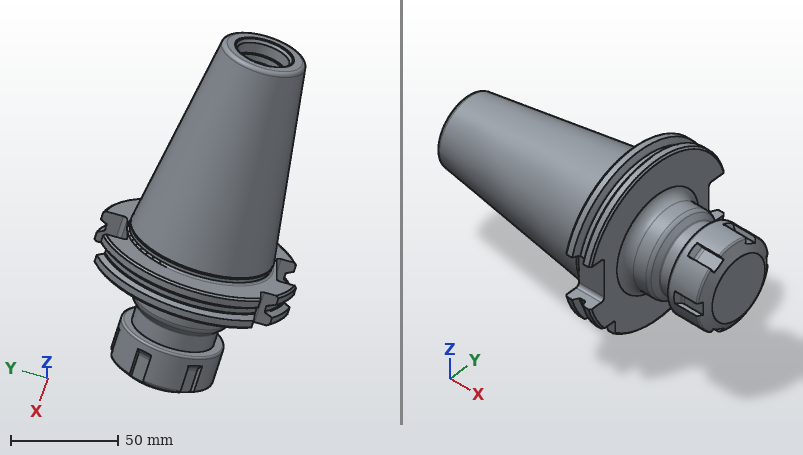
import cadquery as cq
import math

total_length = 171.6

taper_ratio = 7 / 24
taper_length = 101.0
taper_big_radius = 35.0
taper_small_radius = taper_big_radius - taper_length * taper_ratio / 2
tail_fillet = 2.2

relief_radius = 34.7
relief_start = 102.1
relief_fillet = 1.0

flange_back = 104.8
flange_width = 16.0
flange_front = flange_back + flange_width
flange_middle = flange_back + flange_width / 2
flange_radius = 48.7
flange_chamfer = 1.0
groove_depth = 3.3
groove_floor_half_width = 1.63
groove_mouth_half_width = 3.5
groove_fillet = 0.6

slot_width = 25.7
slot_floor_rear = 35.5
slot_floor_front = 37.2
notch_wall_y = -29.5
notch_roof_z = -30.0
slot_corner_fillet = 2.0
notch_corner_fillet = 1.5
cut_reach = 1.2 * flange_radius

nose_radius = 24.0
nose_root_radius = 6.5
nose_root_length = 6.2
nose_neck_start = 140.2
neck_radius = 20.0
nose_bevel_length = nose_radius - neck_radius
nose_bevel_fillet = 3.5
neck_fillet = 0.7

mouth_radius = 14.5
mouth_step_radius = 13.7
mouth_step_depth = 0.3
pilot_radius = 12.7
pilot_start = 1.9
pilot_end = 7.2
thread_radius = 12.2
thread_end = 11.0
land_radius = 11.8
land_end = 11.8
core_radius = 10.5
core_depth = 68.6
drill_point_angle = 118.0

nut_back = 149.1
nut_radius = 25.0
nut_back_fillet = 1.0
nut_face_radius = 18.4
nut_bevel_angle = 60.0
nut_bevel_fillet = 1.2
nut_bevel_start = total_length - (nut_radius - nut_face_radius) / math.tan(math.radians(nut_bevel_angle))

wrench_slot_count = 6
wrench_slot_width = 7.5
wrench_slot_floor = 22.1
wrench_slot_back = 153.5
wrench_slot_fillet = 2.2
wrench_slot_overcut = 1.7


def turned(points):
    """Revolve an outline of (x, radius) points about the X axis."""
    return cq.Workplane("XY").polyline(points).close().revolve(360, (0, 0, 0), (1, 0, 0))


def ring_edges(body, x, radius):
    """Circular edges of a turned body at one place along the axis."""
    tolerance = 0.02

    def matches(edge):
        return (abs(edge.Center().x - x) < tolerance
                and abs(edge.radius() - radius) < tolerance)

    return body.edges("%CIRCLE").filter(matches)


def make_nose_root():
    """Concave collar that blends the nose into the flange."""
    rise = nose_root_radius - math.sqrt(nose_root_radius**2 - nose_root_length**2)
    half_angle = math.asin(nose_root_length / nose_root_radius) / 2
    arc_middle = (
        flange_front + nose_root_length - nose_root_radius * math.sin(half_angle),
        nose_radius + nose_root_radius * (1 - math.cos(half_angle)),
    )
    return (
        cq.Workplane("XY")
        .moveTo(flange_front, 0)
        .lineTo(flange_front, nose_radius + rise)
        .threePointArc(arc_middle, (flange_front + nose_root_length, nose_radius))
        .lineTo(flange_front + nose_root_length, 0)
        .close()
        .revolve(360, (0, 0, 0), (1, 0, 0))
    )


def make_flanged_shank():
    """Taper, relief, flange and nose as one turned piece."""
    flange_rim = [
        (flange_back, flange_radius),
        (flange_middle - groove_mouth_half_width, flange_radius),
        (flange_middle - groove_floor_half_width, flange_radius - groove_depth),
        (flange_middle + groove_floor_half_width, flange_radius - groove_depth),
        (flange_middle + groove_mouth_half_width, flange_radius),
        (flange_front, flange_radius),
    ]
    bevel_start = nose_neck_start - nose_bevel_length
    body = turned([
        (0, 0),
        (0, taper_small_radius),
        (taper_length, taper_big_radius),
        (relief_start, relief_radius),
        (flange_back, relief_radius),
        *flange_rim,
        (flange_front, nose_radius),
        (bevel_start, nose_radius),
        (nose_neck_start, neck_radius),
        (nut_back, neck_radius),
        (nut_back, 0),
    ])
    body = ring_edges(body, 0, taper_small_radius).fillet(tail_fillet)
    body = ring_edges(body, flange_back, relief_radius).fillet(relief_fillet)
    for side in (-1, 1):
        floor_x = flange_middle + side * groove_floor_half_width
        body = ring_edges(body, floor_x, flange_radius - groove_depth).fillet(groove_fillet)
    for face_x in (flange_back, flange_front):
        body = ring_edges(body, face_x, flange_radius).chamfer(flange_chamfer)
    body = ring_edges(body, bevel_start, nose_radius).fillet(nose_bevel_fillet)
    body = ring_edges(body, nose_neck_start, neck_radius).fillet(neck_fillet)
    return body.union(make_nose_root())


def make_rim_cutter(y_wall, y_outside, z_low, z_high, corner_fillet):
    """Block that cuts the flange rim over its full width, with rounded corners."""
    return (
        cq.Workplane("XY")
        .box(flange_width, abs(y_outside - y_wall), z_high - z_low)
        .edges("|X")
        .fillet(corner_fillet)
        .translate((flange_middle, (y_wall + y_outside) / 2, (z_low + z_high) / 2))
    )


def make_bore():
    """Stepped drawbar bore with a drill point at its end."""
    point_length = core_radius / math.tan(math.radians(drill_point_angle / 2))
    pilot_step = pilot_radius - thread_radius
    land_step = thread_radius - land_radius
    core_step = land_radius - core_radius
    return turned([
        (0, 0),
        (0, mouth_radius),
        (mouth_step_depth, mouth_step_radius),
        (pilot_start, pilot_radius),
        (pilot_end, pilot_radius),
        (pilot_end + pilot_step, thread_radius),
        (thread_end, thread_radius),
        (thread_end + land_step, land_radius),
        (land_end, land_radius),
        (land_end + core_step, core_radius),
        (core_depth, core_radius),
        (core_depth + point_length, 0),
    ])


def make_holder():
    half_slot = slot_width / 2
    rear_slot = make_rim_cutter(slot_floor_rear, cut_reach, -half_slot, half_slot, slot_corner_fillet)
    front_slot = make_rim_cutter(-slot_floor_front, -cut_reach, -half_slot, half_slot, slot_corner_fillet)
    notch = make_rim_cutter(notch_wall_y, -cut_reach, -cut_reach, notch_roof_z, notch_corner_fillet)
    holder = make_flanged_shank()
    for cutter in (rear_slot, front_slot, notch):
        holder = holder.cut(cutter)
    return holder.cut(make_bore())


def make_wrench_slot_cutter():
    """Slot on the +Y side: a 45-degree ramp rounded into a flat floor, open at the front."""
    outside = nut_radius + wrench_slot_overcut
    ramp_foot = wrench_slot_back + nut_radius - wrench_slot_floor
    ramp_top = wrench_slot_back + nut_radius - outside
    return (
        cq.Workplane("XY")
        .polyline([
            (ramp_top, outside),
            (ramp_foot, wrench_slot_floor),
            (total_length, wrench_slot_floor),
            (total_length, outside),
        ])
        .close()
        .extrude(wrench_slot_width / 2, both=True)
        .edges(cq.NearestToPointSelector((ramp_foot, wrench_slot_floor, 0)))
        .fillet(wrench_slot_fillet)
    )


def make_nut():
    nut = turned([
        (nut_back, 0),
        (nut_back, nut_radius),
        (nut_bevel_start, nut_radius),
        (total_length, nut_face_radius),
        (total_length, 0),
    ])
    nut = ring_edges(nut, nut_back, nut_radius).fillet(nut_back_fillet)
    nut = ring_edges(nut, nut_bevel_start, nut_radius).fillet(nut_bevel_fillet)
    cutter = make_wrench_slot_cutter()
    for index in range(wrench_slot_count):
        angle = index * 360 / wrench_slot_count
        nut = nut.cut(cutter.rotate((0, 0, 0), (1, 0, 0), angle))
    return nut


holder = make_holder()
nut = make_nut()
result = cq.Compound.makeCompound([holder.val(), nut.val()])